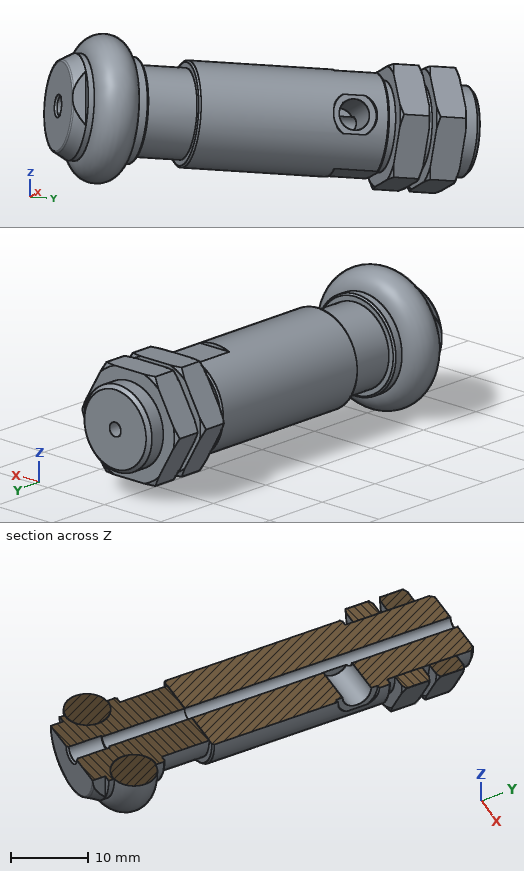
import cadquery as cq
import math


TOTAL_LENGTH = 55.8
BARREL_FRONT = 17.0
BARREL_LENGTH = 26.0
BARREL_BACK = BARREL_FRONT + BARREL_LENGTH

BODY_DIAMETER = 14.0
STEM_DIAMETER = 12.0
AIR_HOLE_DIAMETER = 2.0
EDGE_CHAMFER = 0.25

NOSE_LENGTH = 1.85
NOSE_EDGE_FILLET = 0.3
FLANGE_BACK = 10.15
NOSE_FLAT_WIDTH = STEM_DIAMETER
FRONT_THREAD_DIAMETER = 2.46
FRONT_THREAD_DEPTH = 5.0
FRONT_COUNTERSINK_DIAMETER = 3.0

RING_OUTER_DIAMETER = 19.5
RING_SECTION_DIAMETER = 6.1
RING_CENTER_Y = 5.7
RING_CENTER_RADIUS = (RING_OUTER_DIAMETER - RING_SECTION_DIAMETER) / 2

THREAD_ROOT_DIAMETER = 10.92
TAIL_CHAMFER = (STEM_DIAMETER - THREAD_ROOT_DIAMETER) / 2
WRENCH_WIDTH = 13.0
FLAT_DEPTH = (BODY_DIAMETER - WRENCH_WIDTH) / 2
WRENCH_FLAT_LENGTH = 6.1
PORT_SETBACK = 4.7
PORT_Y = BARREL_BACK - PORT_SETBACK
PORT_THREAD_DIAMETER = 4.13
PORT_SPOTFACE_DIAMETER = 6.0
PORT_SPOTFACE_DEPTH = FLAT_DEPTH

NUT_ACROSS_FLATS = 15.0
NUT_ACROSS_CORNERS = NUT_ACROSS_FLATS / math.cos(math.pi / 6)
NUT_THICKNESS = 4.0
NUT_GAP = 1.0
NUT_COUNT = 2
FIRST_NUT_Y = 44.1
NUT_CHAMFER_ANGLE = math.radians(22)
NUT_FACE_DIAMETER = 15.9


def cylinder(diameter, start_y, end_y):
    """Solid cylinder on the Y axis between two stations."""
    disc = cq.Workplane("XZ", origin=(0, start_y, 0)).circle(diameter / 2)
    return disc.extrude(start_y - end_y)


def revolve_about_y(profile):
    """Turn a closed profile, drawn as radius against Y, about the Y axis."""
    return profile.revolve(360, (0, 0, 0), (0, 1, 0))


def make_ring():
    section = cq.Workplane("XY").center(RING_CENTER_RADIUS, RING_CENTER_Y).circle(RING_SECTION_DIAMETER / 2)
    return section.revolve(360, (-RING_CENTER_RADIUS, 0, 0), (-RING_CENTER_RADIUS, 1, 0))


def make_plunger():
    body_radius = BODY_DIAMETER / 2
    stem_radius = STEM_DIAMETER / 2
    outline = (
        cq.Workplane("XY")
        .lineTo(stem_radius, 0)
        .lineTo(body_radius, NOSE_LENGTH)
        .lineTo(body_radius, FLANGE_BACK - EDGE_CHAMFER)
        .lineTo(body_radius - EDGE_CHAMFER, FLANGE_BACK)
        .lineTo(stem_radius, FLANGE_BACK)
        .lineTo(stem_radius, BARREL_FRONT)
        .lineTo(0, BARREL_FRONT)
        .close()
    )
    plunger = revolve_about_y(outline).faces("<Y").edges().fillet(NOSE_EDGE_FILLET)

    nose_block = cq.Workplane("XY").box(2 * BODY_DIAMETER, NOSE_LENGTH, 2 * BODY_DIAMETER)
    flat_bar = cq.Workplane("XY").box(NOSE_FLAT_WIDTH, NOSE_LENGTH, 2 * BODY_DIAMETER)
    plunger = plunger.cut(nose_block.cut(flat_bar).translate((0, NOSE_LENGTH / 2, 0)))

    plunger = plunger.cut(cylinder(AIR_HOLE_DIAMETER, 0, BARREL_FRONT))
    plunger = plunger.cut(cylinder(FRONT_THREAD_DIAMETER, 0, FRONT_THREAD_DEPTH))
    countersink_radius = FRONT_COUNTERSINK_DIAMETER / 2
    countersink = (
        cq.Workplane("XY")
        .lineTo(countersink_radius, 0)
        .lineTo(0, countersink_radius)
        .close()
    )
    plunger = plunger.cut(revolve_about_y(countersink))

    return plunger.cut(make_ring())


def make_housing():
    barrel = cylinder(BODY_DIAMETER, BARREL_FRONT, BARREL_BACK).faces("<Y or >Y").chamfer(EDGE_CHAMFER)

    flat_cutter = cq.Workplane("XY").box(BODY_DIAMETER, WRENCH_FLAT_LENGTH, FLAT_DEPTH)
    flat_y = BARREL_BACK - WRENCH_FLAT_LENGTH / 2
    for side in (1, -1):
        barrel = barrel.cut(flat_cutter.translate((0, flat_y, side * (WRENCH_WIDTH + FLAT_DEPTH) / 2)))

    tail = cylinder(STEM_DIAMETER, BARREL_BACK, TOTAL_LENGTH).faces(">Y").chamfer(TAIL_CHAMFER)
    housing = barrel.union(tail).cut(cylinder(AIR_HOLE_DIAMETER, BARREL_FRONT, TOTAL_LENGTH))

    port_plane = cq.Workplane("YZ", origin=(0, PORT_Y, 0))
    housing = housing.cut(port_plane.circle(PORT_THREAD_DIAMETER / 2).extrude(BODY_DIAMETER / 2))
    spotface = port_plane.workplane(offset=BODY_DIAMETER / 2 - PORT_SPOTFACE_DEPTH)
    return housing.cut(spotface.circle(PORT_SPOTFACE_DIAMETER / 2).extrude(BODY_DIAMETER / 2))


def make_nut(front_y):
    """Hexagon nut with corners on the X axis and both faces chamfered."""
    hexagon = cq.Workplane("XZ").polygon(6, NUT_ACROSS_CORNERS).extrude(-NUT_THICKNESS)
    face_radius = NUT_FACE_DIAMETER / 2
    corner_radius = NUT_ACROSS_CORNERS / 2
    chamfer_height = (corner_radius - face_radius) * math.tan(NUT_CHAMFER_ANGLE)
    envelope = (
        cq.Workplane("XY")
        .lineTo(face_radius, 0)
        .lineTo(corner_radius, chamfer_height)
        .lineTo(corner_radius, NUT_THICKNESS - chamfer_height)
        .lineTo(face_radius, NUT_THICKNESS)
        .lineTo(0, NUT_THICKNESS)
        .close()
    )
    nut = hexagon.intersect(revolve_about_y(envelope))
    nut = nut.cut(cylinder(STEM_DIAMETER, 0, NUT_THICKNESS))
    return nut.translate((0, front_y, 0))


plunger = make_plunger()
ring = make_ring()
housing = make_housing()
nuts = [make_nut(FIRST_NUT_Y + index * (NUT_THICKNESS + NUT_GAP)) for index in range(NUT_COUNT)]

result = cq.Compound.makeCompound(
    [housing.val(), plunger.val(), ring.val(), *[nut.val() for nut in nuts]]
)